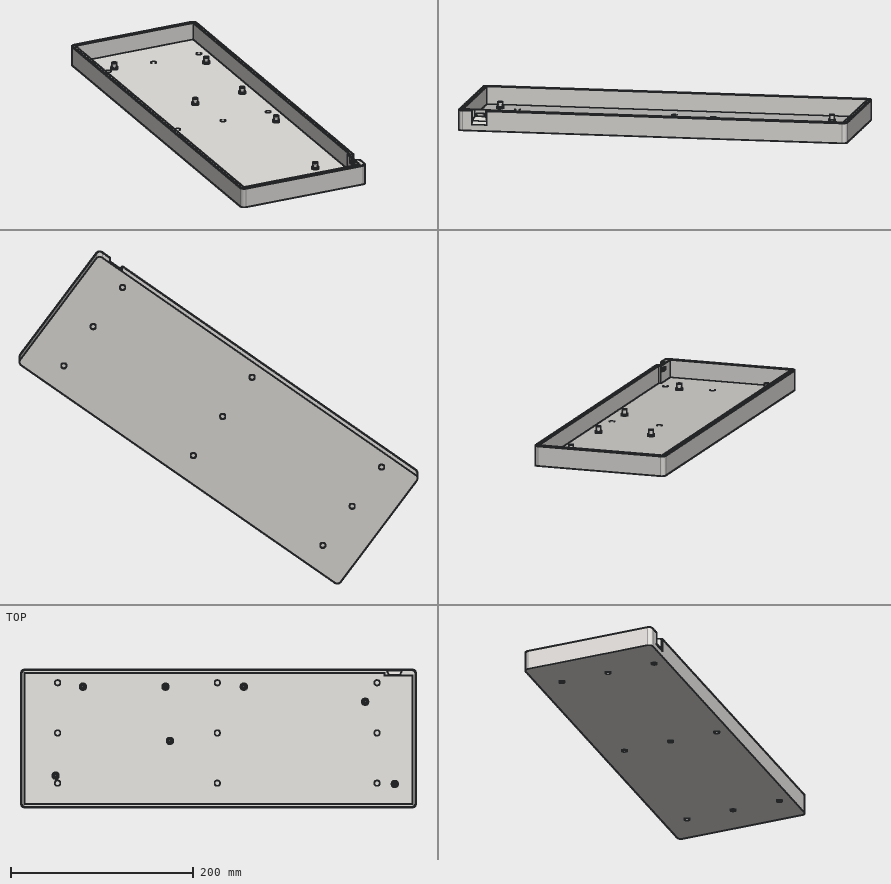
import cadquery as cq
length = 433.5
width = 151.5
height = 23.0
wall = 4.5
floor = 3.0
corner_radius = 4.8
rim_outer_chamfer = 1.0
rim_inner_chamfer = 0.5
overlap = 1.0

pad_start = 181.5
pad_depth = 2.5
pad_face = width / 2 - wall - pad_depth

plug_x = 193.0
recess_mouth_width = 16.5
recess_mouth_depth = 1.7
recess_mouth_bottom = 7.0
recess_step_bottom = 11.0
recess_top = height + overlap
recess_end_width = 12.0
bridge = 1.0

slot_width = 9.0
slot_height = 3.5
slot_z = 17.0

post_diameter = 5.0
collar_diameter = 7.5
collar_height = 1.7
screw_hole_diameter = 2.7
post_height = 7.0
post_places = [
    (-148.5, 57.0), (-58.0, 57.0), (27.7, 57.0), (161.0, 40.5),
    (-53.5, -2.5), (-178.5, -40.7), (193.5, -50.0),
]

foot_diameter = 6.0
foot_depth = 2.0
foot_pitch_x = 175.0
foot_pitch_y = 55.0
foot_center = (-1.5, 6.0)


def make_tray():
    body = cq.Workplane("XY").box(length, width, height, centered=(True, True, False))
    body = body.edges("|Z").fillet(corner_radius)
    cavity = cq.Workplane("XY").box(
        length - 2 * wall, width - 2 * wall, height, centered=(True, True, False)
    )
    pad = cq.Workplane("XY").box(
        length / 2 - wall - pad_start, pad_depth + overlap, height, centered=False
    )
    tray = body.cut(cavity.translate((0, 0, floor))).union(pad.translate((pad_start, pad_face, 0)))
    rim = tray.faces(">Z").val()
    tray = tray.newObject(rim.outerWire().Edges()).chamfer(rim_outer_chamfer)
    rim = tray.faces(">Z").val()
    return tray.newObject(rim.innerWires()[0].Edges()).chamfer(rim_inner_chamfer)


def recess_stage(y_start, width_start, bottom_start, y_end, width_end, bottom_end):
    start_height = recess_top - bottom_start
    end_height = recess_top - bottom_end
    return (
        cq.Workplane("XZ", origin=(plug_x, y_start, recess_top - start_height / 2))
        .rect(width_start, start_height)
        .workplane(offset=y_start - y_end)
        .center(0, (start_height - end_height) / 2)
        .rect(width_end, end_height)
        .loft(ruled=True)
    )


def make_recess():
    step = width / 2 - recess_mouth_depth
    end = pad_face + bridge
    slot_bottom = slot_z - slot_height / 2
    mouth = recess_stage(
        width / 2, recess_mouth_width, recess_mouth_bottom, step, recess_mouth_width, recess_step_bottom
    )
    taper = recess_stage(step, recess_mouth_width, recess_step_bottom, end, recess_end_width, slot_bottom)
    return mouth.union(taper)


def make_slot():
    return (
        cq.Workplane("XZ", origin=(plug_x, width / 2, slot_z))
        .slot2D(slot_width, slot_height)
        .extrude(2 * (width / 2 - pad_face))
    )


def make_post():
    base = cq.Workplane("XY", origin=(0, 0, floor - overlap))
    collar = base.circle(collar_diameter / 2).extrude(collar_height + overlap)
    post = base.circle(post_diameter / 2).extrude(post_height + overlap).union(collar)
    return post.faces(">Z").workplane().hole(screw_hole_diameter, post_height)


result = make_tray().cut(make_recess()).cut(make_slot())
post = make_post()
for x, y in post_places:
    result = result.union(post.translate((x, y, 0)))

feet = (
    cq.Workplane("XY", origin=(*foot_center, 0))
    .rarray(foot_pitch_x, foot_pitch_y, 3, 3)
    .circle(foot_diameter / 2)
    .extrude(foot_depth)
)
result = result.cut(feet)